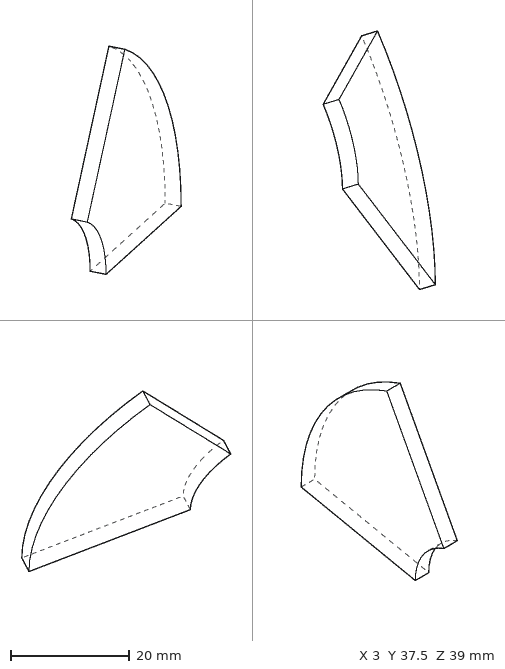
import cadquery as cq
import math

height = 38.97
thickness = 3.0
sector_angle = 60.0
outer_radius = height / math.sin(math.radians(sector_angle))
inner_radius = outer_radius / 3


def ring_point(radius, angle):
    """Point (Y, Z) at the given radius and angle in degrees from +Y."""
    angle_rad = math.radians(angle)
    return (radius * math.cos(angle_rad), radius * math.sin(angle_rad))


mid_angle = sector_angle / 2

result = (
    cq.Workplane("YZ")
    .moveTo(*ring_point(inner_radius, 0))
    .lineTo(*ring_point(outer_radius, 0))
    .threePointArc(ring_point(outer_radius, mid_angle), ring_point(outer_radius, sector_angle))
    .lineTo(*ring_point(inner_radius, sector_angle))
    .threePointArc(ring_point(inner_radius, mid_angle), ring_point(inner_radius, 0))
    .close()
    .extrude(thickness)
)